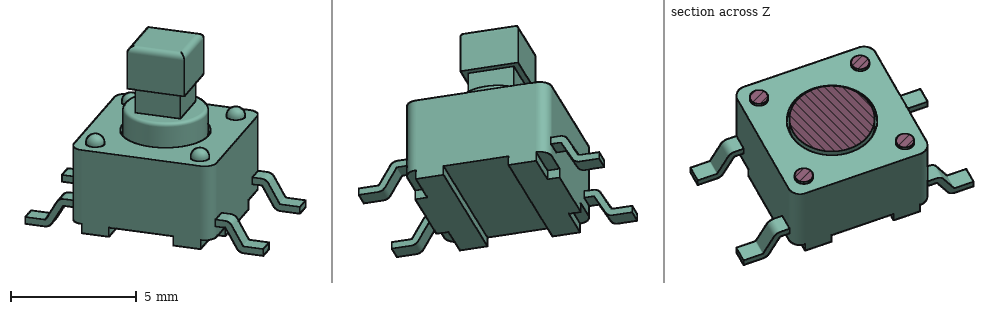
import cadquery as cq
import math

HOUSING_WIDTH = 6.0
HOUSING_BOTTOM = 0.1
HOUSING_TOP = 3.7
CORNER_RADIUS = 0.5
FOOT_HEIGHT = 0.4
CHANNEL_WIDTH = 2.7
SIDE_TAB_WIDTH = 2.9

RIVET_DIAMETER = 0.75
RIVET_SHANK_HEIGHT = 0.03
RIVET_OFFSET = 2.2

LEAD_TIP_X = 5.0
LEAD_THICKNESS = 0.3
LEAD_WIDTH = 0.72
LEAD_OFFSET_Y = 2.25
LEAD_SHOULDER_TOP = 1.3
LEAD_SHOULDER_END = 3.38
LEAD_SLOPE_ANGLE = 60.0
BEND_INNER_RADIUS = 0.05
BEND_OUTER_RADIUS = BEND_INNER_RADIUS + LEAD_THICKNESS

COLLAR_DIAMETER = 3.4
COLLAR_TOP = 4.7
COLLAR_FILLET = 0.15
STEM_WIDTH = 1.9
CAP_WIDTH = 2.4
CAP_BOTTOM = 5.8
CAP_TOP = 7.6
CAP_FILLET = 0.25

WELL_DIAMETER = 3.6
WELL_DEPTH = 0.3
WELL_FLOOR = HOUSING_TOP - WELL_DEPTH


def box_between(size_x, size_y, bottom, top):
    """Box centred on the Z axis between two heights."""
    return cq.Workplane("XY").workplane(offset=bottom).rect(size_x, size_y).extrude(top - bottom)


def make_block():
    """Rounded block with underside cut-outs and the plunger well."""
    shoulder_z = HOUSING_BOTTOM + FOOT_HEIGHT
    upper = box_between(HOUSING_WIDTH, HOUSING_WIDTH, shoulder_z, HOUSING_TOP)
    upper = upper.edges("|Z").fillet(CORNER_RADIUS)

    foot_width = HOUSING_WIDTH - 2 * CORNER_RADIUS
    feet = box_between(foot_width, HOUSING_WIDTH, HOUSING_BOTTOM, shoulder_z)
    side_tabs = box_between(HOUSING_WIDTH, SIDE_TAB_WIDTH, HOUSING_BOTTOM, shoulder_z)
    channel = box_between(CHANNEL_WIDTH, HOUSING_WIDTH, HOUSING_BOTTOM, shoulder_z)
    feet = feet.union(side_tabs).cut(channel)

    well = cq.Workplane("XY").workplane(offset=WELL_FLOOR).circle(WELL_DIAMETER / 2).extrude(WELL_DEPTH)
    return upper.union(feet).cut(well)


def make_rivet_head():
    """Domed rivet head on the Z axis, seated on the housing top."""
    radius = RIVET_DIAMETER / 2
    dome_base = HOUSING_TOP + RIVET_SHANK_HEIGHT
    diagonal = radius * math.sqrt(0.5)
    return (
        cq.Workplane("XZ")
        .moveTo(0, HOUSING_TOP)
        .lineTo(radius, HOUSING_TOP)
        .lineTo(radius, dome_base)
        .threePointArc((diagonal, dome_base + diagonal), (0, dome_base + radius))
        .close()
        .revolve(360, (0, 0, 0), (0, 1, 0))
    )


def make_lead():
    """Lead on the +X side, centred on Y = 0, starting at the housing wall."""
    slope = math.radians(LEAD_SLOPE_ANGLE)
    upper_x = LEAD_SHOULDER_END
    upper_z = LEAD_SHOULDER_TOP - BEND_OUTER_RADIUS
    lower_z = BEND_OUTER_RADIUS
    bend_drop = upper_z - lower_z
    radius_sum = BEND_OUTER_RADIUS + BEND_INNER_RADIUS
    lower_x = upper_x + (radius_sum + bend_drop * math.cos(slope)) / math.sin(slope)

    def on_upper_bend(radius, angle):
        return (upper_x + radius * math.sin(angle), upper_z + radius * math.cos(angle))

    def on_lower_bend(radius, angle):
        return (lower_x - radius * math.sin(angle), lower_z - radius * math.cos(angle))

    wall_x = HOUSING_WIDTH / 2
    outer = BEND_OUTER_RADIUS
    inner = BEND_INNER_RADIUS
    outline = (
        cq.Workplane("XZ")
        .moveTo(wall_x, LEAD_SHOULDER_TOP)
        .lineTo(*on_upper_bend(outer, 0))
        .threePointArc(on_upper_bend(outer, slope / 2), on_upper_bend(outer, slope))
        .lineTo(*on_lower_bend(inner, slope))
        .threePointArc(on_lower_bend(inner, slope / 2), on_lower_bend(inner, 0))
        .lineTo(LEAD_TIP_X, LEAD_THICKNESS)
        .lineTo(LEAD_TIP_X, 0)
        .lineTo(*on_lower_bend(outer, 0))
        .threePointArc(on_lower_bend(outer, slope / 2), on_lower_bend(outer, slope))
        .lineTo(*on_upper_bend(inner, slope))
        .threePointArc(on_upper_bend(inner, slope / 2), on_upper_bend(inner, 0))
        .lineTo(wall_x, LEAD_SHOULDER_TOP - LEAD_THICKNESS)
        .close()
    )
    lead = outline.extrude(LEAD_WIDTH / 2, both=True)

    root = cq.Workplane("XY").box(CORNER_RADIUS, LEAD_WIDTH, LEAD_THICKNESS)
    root_x = wall_x - CORNER_RADIUS / 2
    root_z = LEAD_SHOULDER_TOP - LEAD_THICKNESS / 2
    return lead.union(root.translate((root_x, 0, root_z)))


def make_housing():
    """Block with its four rivet heads and four leads, one solid."""
    housing = make_block()
    rivet_head = make_rivet_head()
    right_lead = make_lead()
    left_lead = right_lead.mirror("YZ")
    for side_x, lead in ((-1, left_lead), (1, right_lead)):
        for side_y in (-1, 1):
            housing = housing.union(rivet_head.translate((side_x * RIVET_OFFSET, side_y * RIVET_OFFSET, 0)))
            housing = housing.union(lead.translate((0, side_y * LEAD_OFFSET_Y, 0)))
    return housing


def make_plunger():
    """Round collar standing on the well floor, square stem and square cap, one solid."""
    collar = (
        cq.Workplane("XY")
        .workplane(offset=WELL_FLOOR)
        .circle(COLLAR_DIAMETER / 2)
        .extrude(COLLAR_TOP - WELL_FLOOR)
        .faces(">Z")
        .edges()
        .fillet(COLLAR_FILLET)
    )
    stem = box_between(STEM_WIDTH, STEM_WIDTH, COLLAR_TOP, CAP_BOTTOM)
    cap = box_between(CAP_WIDTH, CAP_WIDTH, CAP_BOTTOM, CAP_TOP).faces(">Z").edges().fillet(CAP_FILLET)
    return collar.union(stem).union(cap)


housing = make_housing()
plunger = make_plunger()
result = cq.Compound.makeCompound([housing.val(), plunger.val()])